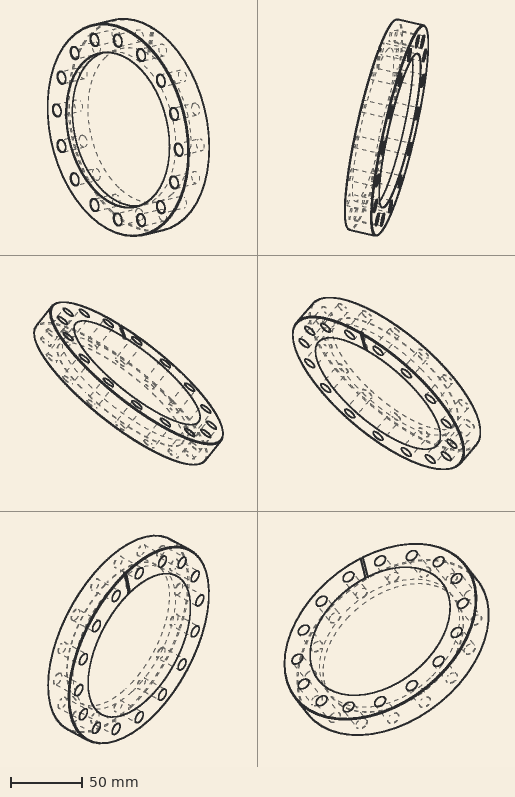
import cadquery as cq

flange_diameter = 151.6
flange_thickness = 19.9
rim_chamfer = 0.6

bolt_count = 16
bolt_spacing = 360 / bolt_count
bolt_circle_diameter = 130.4
bolt_hole_diameter = 8.5
bolt_hole_chamfer = 0.3

bore_diameter = 110.4
bore_chamfer = 0.3
recess_depth = 5.8

groove_width = 1.8
groove_depth = 1.0
groove_angle = bolt_spacing / 2


def disc(diameter, front, back):
    """Round disc about the Y axis, between two Y positions."""
    return (
        cq.Workplane("XZ", origin=(0, front, 0))
        .circle(diameter / 2)
        .extrude(front - back)
    )


def chamfered_hole(diameter, chamfer):
    """Cutter on the Y axis: a through hole with a conical mouth at the front face."""
    radius = diameter / 2
    profile = [
        (0, 0),
        (radius + chamfer, 0),
        (radius, chamfer),
        (radius, flange_thickness),
        (0, flange_thickness),
    ]
    return cq.Workplane("XY").polyline(profile).close().revolve(360, (0, 0), (0, 1))


def leak_test_groove():
    """Square-edged cutter along the back face, from the flange axis out past the rim."""
    return (
        cq.Workplane("XY", origin=(0, flange_thickness, 0))
        .rect(groove_width, 2 * groove_depth)
        .extrude(flange_diameter)
        .rotate((0, 0, 0), (0, 1, 0), groove_angle)
    )


def make_flange():
    flange = disc(flange_diameter, 0, flange_thickness).edges().chamfer(rim_chamfer)
    flange = flange.cut(chamfered_hole(bore_diameter, bore_chamfer))

    bolt_hole = chamfered_hole(bolt_hole_diameter, bolt_hole_chamfer)
    bolt_hole = bolt_hole.translate((0, 0, bolt_circle_diameter / 2))
    for i in range(bolt_count):
        flange = flange.cut(bolt_hole.rotate((0, 0, 0), (0, 1, 0), i * bolt_spacing))

    return flange.cut(leak_test_groove())


def make_plate():
    """Flat plate that fills the bore from the recess floor to the back face."""
    return disc(bore_diameter, recess_depth, flange_thickness)


flange = make_flange()
plate = make_plate()
result = cq.Compound.makeCompound([flange.solids().val(), plate.val()])